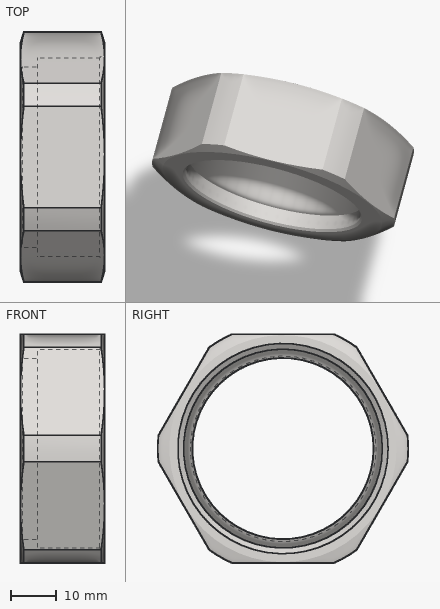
import cadquery as cq
import math

nut_length = 18.5
corner_diameter = 54.7
across_flats = 50.0

end_face_diameter = 49.55
bevel_length = 0.8

lip_diameter = 39.5
lip_end = 3.7
lip_chamfer = 0.5
wide_diameter = 43.35
wide_chamfer = 1.25


def revolve_profile(points):
    """Revolve a closed (x, radius) outline about the X axis."""
    return cq.Workplane("XY").polyline(points).close().revolve(360, (0, 0, 0), (1, 0, 0))


def hexagon_prism():
    """Hexagonal bar with corners pointing along +Y and -Y."""
    vertex_radius = across_flats / 2 / math.cos(math.pi / 6)
    vertices = []
    for index in range(6):
        angle = index * math.pi / 3
        vertices.append((vertex_radius * math.cos(angle), vertex_radius * math.sin(angle)))
    return cq.Workplane("YZ").polyline(vertices).close().extrude(nut_length)


def bevelled_envelope():
    """Cylinder with bevelled ends that rounds off the hexagon corners."""
    corner_radius = corner_diameter / 2
    end_face_radius = end_face_diameter / 2
    return revolve_profile([
        (0, 0),
        (0, end_face_radius),
        (bevel_length, corner_radius),
        (nut_length - bevel_length, corner_radius),
        (nut_length, end_face_radius),
        (nut_length, 0),
    ])


def stepped_bore():
    """Through bore with the lip step and a chamfer at each mouth."""
    lip_radius = lip_diameter / 2
    wide_radius = wide_diameter / 2
    return revolve_profile([
        (0, 0),
        (0, lip_radius + lip_chamfer),
        (lip_chamfer, lip_radius),
        (lip_end, lip_radius),
        (lip_end, wide_radius),
        (nut_length - wide_chamfer, wide_radius),
        (nut_length, wide_radius + wide_chamfer),
        (nut_length, 0),
    ])


result = hexagon_prism().intersect(bevelled_envelope()).cut(stepped_bore())